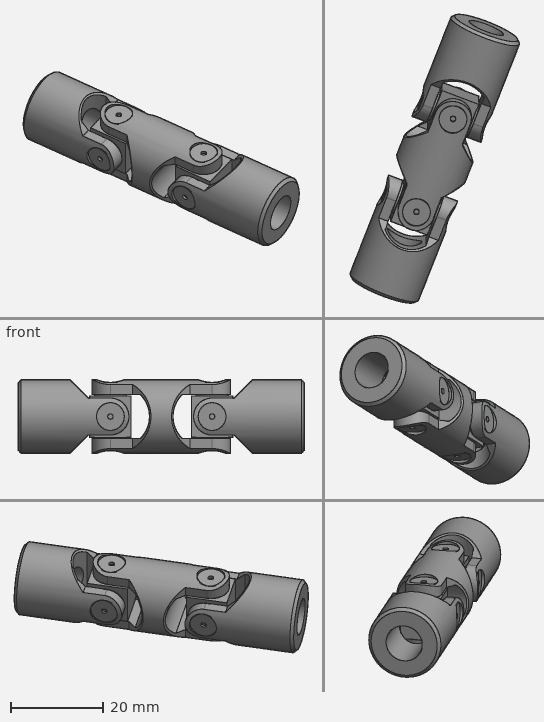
import cadquery as cq
import math

overall_length = 62.0
body_diameter = 16.0
bore_diameter = 8.0
end_chamfer = 0.7

joint_spacing = 22.0
ear_width = 8.0
flank_start = 4.8
ear_gap = 9.5
cavity_end_radius = 6.75
cavity_end_center = 1.7

block_length = 9.0
block_width = 8.5
block_height = 9.0
collar_diameter = 7.0
pin_diameter = 6.0
pin_span = 14.7
center_hole_diameter = 1.2
center_hole_depth = 0.6

joint_offset = joint_spacing / 2
ear_radius = ear_width / 2
oversize = 2 * body_diameter


def x_cylinder(diameter, x_start, x_end):
    return cq.Workplane("YZ", origin=(x_start, 0, 0)).circle(diameter / 2).extrude(x_end - x_start)


def y_cylinder(diameter, length):
    return cq.Workplane("XZ").circle(diameter / 2).extrude(length / 2, both=True)


def quarter_turn(shape):
    """Turn a shape about X so that what lay along Y lies along Z."""
    return shape.rotate((0, 0, 0), (1, 0, 0), 90)


def half_turn(shape):
    """Turn a shape about Z so that what faced +X faces -X."""
    return shape.rotate((0, 0, 0), (0, 0, 1), 180)


def fork_outline():
    """Outline of a fork with its ears at +Y and -Y, pointing to +X, with the joint at the origin."""
    flank_end = -flank_start - (body_diameter - ear_radius)
    return (
        cq.Workplane("XZ")
        .moveTo(0, ear_radius)
        .threePointArc((ear_radius, 0), (0, -ear_radius))
        .lineTo(-flank_start, -ear_radius)
        .lineTo(flank_end, -body_diameter)
        .lineTo(-overall_length, -body_diameter)
        .lineTo(-overall_length, body_diameter)
        .lineTo(flank_end, body_diameter)
        .lineTo(-flank_start, ear_radius)
        .close()
        .extrude(body_diameter, both=True)
    )


def fork_cavity():
    """Gap between the ears, with a rounded bottom, and the pin holes through the ears."""
    half_gap = ear_gap / 2
    arc_reach = math.sqrt(cavity_end_radius**2 - half_gap**2)
    gap = (
        cq.Workplane("XY")
        .moveTo(oversize, half_gap)
        .lineTo(-cavity_end_center - arc_reach, half_gap)
        .threePointArc(
            (-cavity_end_center - cavity_end_radius, 0),
            (-cavity_end_center - arc_reach, -half_gap),
        )
        .lineTo(oversize, -half_gap)
        .close()
        .extrude(body_diameter, both=True)
    )
    return gap.union(y_cylinder(pin_diameter, oversize))


def end_yoke():
    """Bored yoke at the -X end, with ears at +Y and -Y."""
    joint = (-joint_offset, 0, 0)
    body = x_cylinder(body_diameter, -overall_length / 2, 0).faces("<X").chamfer(end_chamfer)
    bore = x_cylinder(bore_diameter, -overall_length / 2, -joint_offset)
    return body.intersect(fork_outline().translate(joint)).cut(fork_cavity().translate(joint)).cut(bore)


def middle_yoke():
    """Solid yoke with a fork at both ends, ears at +Z and -Z."""
    joint = (joint_offset, 0, 0)
    outline = quarter_turn(fork_outline()).translate(joint)
    cavity = quarter_turn(fork_cavity()).translate(joint)
    body = x_cylinder(body_diameter, -overall_length / 2, overall_length / 2)
    return (
        body.intersect(outline)
        .intersect(half_turn(outline))
        .cut(cavity)
        .cut(half_turn(cavity))
    )


def cross():
    """Block with four pins along Y and Z, each with a collar and a small hole in its end."""
    pins = y_cylinder(pin_diameter, pin_span).union(y_cylinder(collar_diameter, ear_gap))
    hole_bottoms = pin_span - 2 * center_hole_depth
    holes = y_cylinder(center_hole_diameter, oversize).cut(y_cylinder(pin_diameter, hole_bottoms))
    block = cq.Workplane("XY").box(block_length, block_width, block_height)
    return block.union(pins).union(quarter_turn(pins)).cut(holes).cut(quarter_turn(holes))


left_yoke = end_yoke()
right_yoke = half_turn(left_yoke)
center_yoke = middle_yoke()
crosses = [cross().translate((side * joint_offset, 0, 0)) for side in (-1, 1)]

result = cq.Compound.makeCompound(
    [left_yoke.val(), right_yoke.val(), center_yoke.val(), *[body.val() for body in crosses]]
)